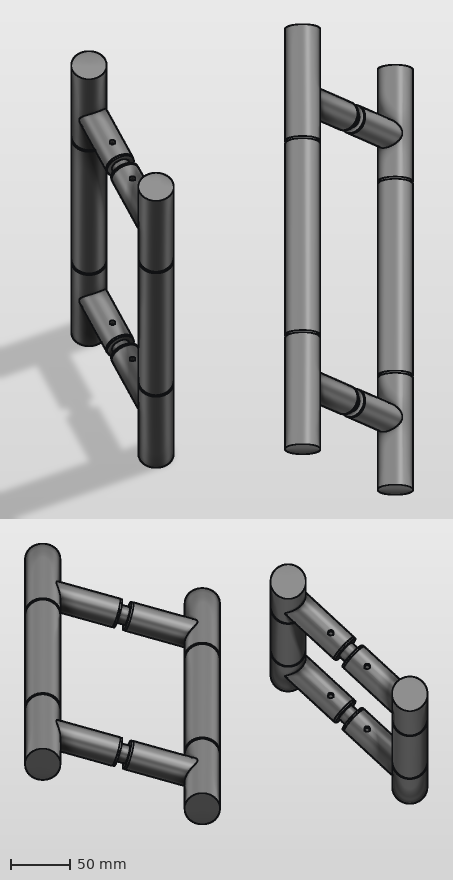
import cadquery as cq


rod_length = 370.0
rod_diameter = 30.0
overall_width = 171.0
rod_x = (overall_width - rod_diameter) / 2

groove_z = 85.5
groove_width = 2.0
groove_depth = 0.5

gap = 8.0
neck_diameter = 16.0

washer_diameter = 24.8
washer_thickness = 2.0
washer_x = gap / 2

standoff_diameter = 25.0
standoff_z = 125.0
standoff_x = washer_x + washer_thickness

screw_hole_diameter = 4.8
screw_hole_x = 21.0

stud_diameter = 12.0
stud_end_x = screw_hole_x + screw_hole_diameter

SIDES = (-1, 1)
ENDS = (-1, 1)


def bar_along_x(start_x, end_x, diameter, z):
    """Round bar parallel to X, centred at height z."""
    return cq.Workplane("YZ", origin=(start_x, 0, z)).circle(diameter / 2).extrude(end_x - start_x)


def on_side(body, side):
    """Keep a body made on the +X side, or mirror it to the -X side."""
    return body if side > 0 else body.mirror("YZ")


def make_rod():
    """Rod on the +X side with its two grooves."""
    rod = cq.Workplane("XY", origin=(rod_x, 0, -rod_length / 2)).circle(rod_diameter / 2).extrude(rod_length)
    for end in ENDS:
        groove = (
            cq.Workplane("XY", origin=(rod_x, 0, end * groove_z - groove_width / 2))
            .circle(rod_diameter)
            .circle(rod_diameter / 2 - groove_depth)
            .extrude(groove_width)
        )
        rod = rod.cut(groove)
    return rod


def make_handle(side):
    """Rod and its two standoffs, bored for the studs and drilled for the set screws."""
    handle = make_rod()
    for end in ENDS:
        z = end * standoff_z
        standoff = bar_along_x(standoff_x, rod_x, standoff_diameter, z)
        bore = bar_along_x(standoff_x, stud_end_x, stud_diameter, z)
        screw_hole = (
            cq.Workplane("XY", origin=(screw_hole_x, 0, z))
            .circle(screw_hole_diameter / 2)
            .extrude(standoff_diameter)
        )
        handle = handle.union(standoff).cut(bore).cut(screw_hole)
    return on_side(handle, side)


def make_washer(side, end):
    """Flat ring on the inner end of one standoff."""
    z = end * standoff_z
    washer = bar_along_x(washer_x, standoff_x, washer_diameter, z)
    hole = bar_along_x(washer_x, standoff_x, stud_diameter, z)
    return on_side(washer.cut(hole), side)


def make_stud(end):
    """Stud with a thick neck between the washers and thinner ends inside the standoffs."""
    z = end * standoff_z
    neck = bar_along_x(-gap / 2, gap / 2, neck_diameter, z)
    shank = bar_along_x(-stud_end_x, stud_end_x, stud_diameter, z)
    return neck.union(shank)


handles = [make_handle(side).solids().val() for side in SIDES]
washers = [make_washer(side, end).solids().val() for side in SIDES for end in ENDS]
studs = [make_stud(end).solids().val() for end in ENDS]

result = cq.Compound.makeCompound([*handles, *washers, *studs])